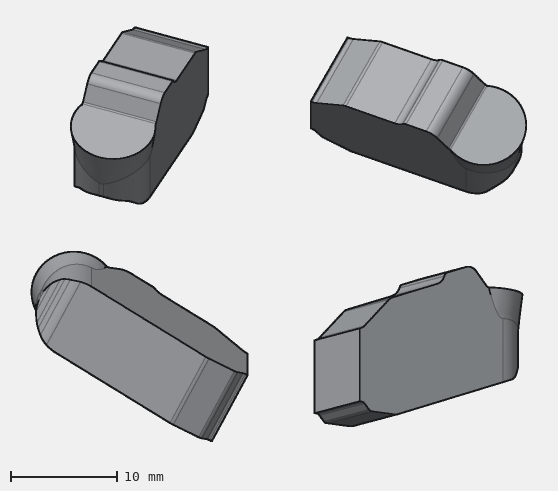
import cadquery as cq
import math


seat_radius = 4.0
seat_height = 13.38
seat_relief_angle = 6.8
seat_cone_depth = 5.0

body_width = 7.33
body_length = 20.5
nose_flat_width = 0.48
nose_radius = (body_width - nose_flat_width) / 2
nose_setback = 0.54
front_y = nose_setback - seat_radius
back_y = body_length - seat_radius

incline = 20.0
foot_front_y = 12.2
foot_round = 1.0
back_notch_height = 0.80
back_notch_length = 0.43
back_notch_angle = 45.0
back_notch_root_round = 0.4
back_notch_foot_round = 0.5

chin_y = -1.66
chin_angle = 55.0
chin_round = 1.8
jaw_y = -2.53
jaw_angle = 34.0
jaw_round = 1.2
nose_bottom_round = 0.5

crest_y = 3.53
crest_height = 15.28
crest_front_angle = 47.0
crest_round = 1.1
seat_corner_round = 0.25
step_top_y = 6.61
step_angle = 70.0
step_face_length = 0.96
step_top_round = 0.55
step_root_round = 1.45
deck_back_y = 12.95
deck_round = 0.86
back_slope_angle = 45.0
lip_y = 16.10
lip_round = 1.3


def rise(run, angle):
    """Height gained over a horizontal run at an angle in degrees."""
    return run * math.tan(math.radians(angle))


def profile_corners():
    """Sharp corners (y, z, rounding radius) of the side profile, from the back underside."""
    notch_foot_y = back_y - back_notch_length - back_notch_height / rise(1, back_notch_angle)
    chin_z = rise(foot_front_y - chin_y, incline)
    jaw_z = chin_z + rise(chin_y - jaw_y, chin_angle)
    nose_bottom_z = jaw_z + rise(jaw_y - front_y, jaw_angle)
    crest_foot_y = crest_y - (crest_height - seat_height) / rise(1, crest_front_angle)
    step_top_z = crest_height - rise(step_top_y - crest_y, incline)
    step_root_y = step_top_y + step_face_length * math.cos(math.radians(step_angle))
    step_root_z = step_top_z - step_face_length * math.sin(math.radians(step_angle))
    deck_back_z = step_root_z - rise(deck_back_y - step_root_y, incline)
    lip_z = deck_back_z - rise(lip_y - deck_back_y, back_slope_angle)
    lip_back_z = lip_z - rise(back_y - lip_y, incline)
    return [
        (back_y, back_notch_height, 0),
        (back_y - back_notch_length, back_notch_height, back_notch_root_round),
        (notch_foot_y, 0, back_notch_foot_round),
        (foot_front_y, 0, foot_round),
        (chin_y, chin_z, chin_round),
        (jaw_y, jaw_z, jaw_round),
        (front_y, nose_bottom_z, nose_bottom_round),
        (front_y, seat_height, 0),
        (crest_foot_y, seat_height, seat_corner_round),
        (crest_y, crest_height, crest_round),
        (step_top_y, step_top_z, step_top_round),
        (step_root_y, step_root_z, step_root_round),
        (deck_back_y, deck_back_z, deck_round),
        (lip_y, lip_z, lip_round),
        (back_y, lip_back_z, 0),
    ]


def rounded_corner(before, corner, after, radius):
    """Start, middle and end of the arc that rounds a corner tangentially."""
    point = cq.Vector(*corner)
    to_before = (cq.Vector(*before) - point).normalized()
    to_after = (cq.Vector(*after) - point).normalized()
    half_angle = to_before.getAngle(to_after) / 2
    tangent_length = radius / math.tan(half_angle)
    middle_distance = radius / math.sin(half_angle) - radius
    start = point + to_before * tangent_length
    middle = point + (to_before + to_after).normalized() * middle_distance
    end = point + to_after * tangent_length
    return [(spot.x, spot.y) for spot in (start, middle, end)]


def rounded_outline(corners):
    """Closed outline through corners of (y, z, radius); the first corner stays sharp."""
    outline = cq.Workplane("YZ").moveTo(*corners[0][:2])
    for index in range(1, len(corners)):
        y, z, radius = corners[index]
        if radius == 0:
            outline = outline.lineTo(y, z)
            continue
        before = corners[index - 1][:2]
        after = corners[(index + 1) % len(corners)][:2]
        start, middle, end = rounded_corner(before, (y, z), after, radius)
        outline = outline.lineTo(*start).threePointArc(middle, end)
    return outline.close()


def make_body():
    """Profile across the full width, trimmed to the round-nosed plan outline."""
    slab = rounded_outline(profile_corners()).extrude(body_width / 2, both=True)
    plan = (
        cq.Workplane("XY")
        .rect(body_width, back_y - front_y)
        .extrude(crest_height)
        .translate((0, (front_y + back_y) / 2, 0))
        .edges("|Z and <Y")
        .fillet(nose_radius)
    )
    return slab.intersect(plan)


def make_seat():
    """Cone with its large flat face on top."""
    return (
        cq.Workplane("XY", origin=(0, 0, seat_height))
        .circle(seat_radius)
        .extrude(-seat_cone_depth, taper=seat_relief_angle)
    )


result = make_body().union(make_seat())